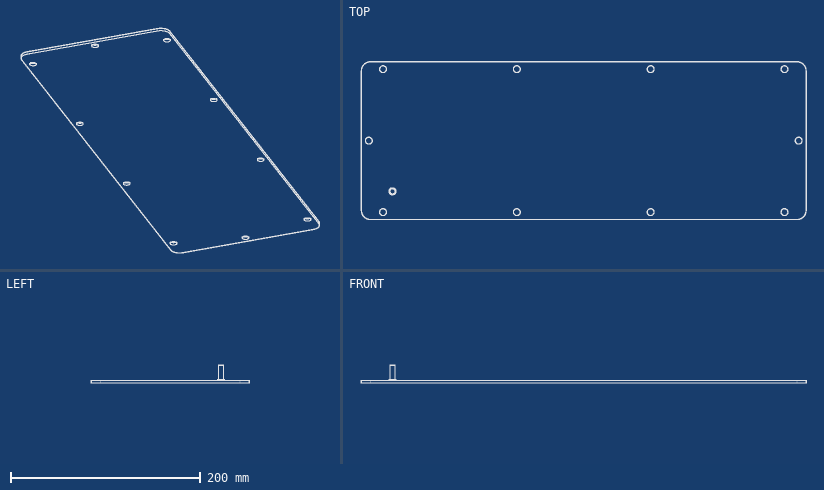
import cadquery as cq

plate_length = 470.0
plate_width = 167.0
plate_thickness = 3.0
corner_radius = 10.0

hole_diameter = 7.0
hole_edge_distance = 8.0
long_row_end_distance = 23.0
holes_per_long_row = 4

overall_height = 19.0
stud_diameter = 5.5
collar_diameter = 7.5
collar_height = 1.0
stud_from_left_edge = 33.0
stud_from_front_edge = 30.0

stud_height = overall_height - plate_thickness
stud_position = (
    stud_from_left_edge - plate_length / 2,
    stud_from_front_edge - plate_width / 2,
)


def hole_positions():
    """Centres of the holes: a row on each long edge and one hole mid-way on each short edge."""
    row_x = plate_length / 2 - long_row_end_distance
    row_y = plate_width / 2 - hole_edge_distance
    end_x = plate_length / 2 - hole_edge_distance
    pitch = 2 * row_x / (holes_per_long_row - 1)
    centres = [(-end_x, 0), (end_x, 0)]
    for y in (-row_y, row_y):
        for index in range(holes_per_long_row):
            centres.append((-row_x + index * pitch, y))
    return centres


def make_plate():
    """Flat plate with rounded corners and through holes, its underside at Z = 0."""
    plate = cq.Workplane("XY").box(
        plate_length, plate_width, plate_thickness, centered=(True, True, False)
    )
    plate = plate.edges("|Z").fillet(corner_radius)
    return plate.faces(">Z").workplane().pushPoints(hole_positions()).hole(hole_diameter)


def add_stud(plate):
    """Raise the collar and the stud from the top face of the plate."""
    top_face = cq.Workplane("XY", origin=(*stud_position, plate_thickness))
    collar = top_face.circle(collar_diameter / 2).extrude(collar_height)
    stud = top_face.circle(stud_diameter / 2).extrude(stud_height)
    return plate.union(collar).union(stud)


result = add_stud(make_plate())